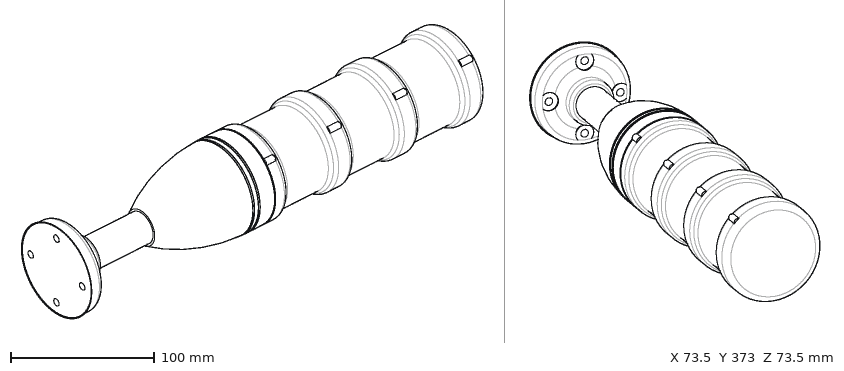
import cadquery as cq
import math

total_length = 373.0

lip_radius = 36.5
lip_thickness = 0.5
flange_radius = 36.0
flange_edge_fillet = 4.0
flange_rim_height = 12.3
flange_root_height = 13.0
hub_radius = 16.8
hub_top = 27.5
hub_edge_fillet = 2.2
hub_root_fillet = 6.5

hole_count = 4
hole_diameter = 5.5
spotface_diameter = 13.5
hole_circle_radius = 27.0

stem_diameter = 25.0
stem_radius = stem_diameter / 2
nose_start = 80.0
nose_start_radius = 14.0
nose_end = 158.2

collar_diameter = 73.5
tube_diameter = 66.0
collar_radius = collar_diameter / 2
tube_radius = tube_diameter / 2
collar_pitch = 62.0
first_tube_start = 188.0
first_tube_end = 226.5
shoulder_length = 6.5
tube_count = 3
collar_flat_length = collar_pitch - (first_tube_end - first_tube_start) - 2 * shoulder_length

cap_edge_fillet = 5.0
cap_dome_height = 1.5

groove_depth = 0.5
collar_joint = 173.0
grooves = [(collar_joint, 0.7), (158.2, 1.5), (153.0, 1.5)]

rib_radius = 3.0
rib_axis_distance = 35.0
rib_angle = 45.0

DIAGONAL = math.sqrt(0.5)


def fillet_middle(center_x, center_y, radius, side_x, side_y):
    """Middle point of a quarter round, on the given side of its centre."""
    return (center_x + side_x * radius * DIAGONAL, center_y + side_y * radius * DIAGONAL)


def add_shoulder(outline, start, start_radius, end_radius):
    """S-shaped step of two equal tangent arcs between two radii, going along +Y."""
    half_length = shoulder_length / 2
    half_step = (end_radius - start_radius) / 2
    arc_radius = (half_length**2 + half_step**2) / (2 * abs(half_step))
    half_angle = math.asin(half_length / arc_radius) / 2
    bulge = math.copysign(arc_radius * (1 - math.cos(half_angle)), half_step)
    reach = arc_radius * math.sin(half_angle)
    end = start + shoulder_length
    outline = outline.threePointArc(
        (start_radius + bulge, start + reach),
        (start_radius + half_step, start + half_length),
    )
    return outline.threePointArc((end_radius - bulge, end - reach), (end_radius, end))


def make_body():
    """Turned body: half outline in the XY plane, revolved about Y."""
    outline = cq.Workplane("XY").lineTo(lip_radius, 0)

    flange_fillet_x = flange_radius - flange_edge_fillet
    flange_fillet_y = flange_rim_height - flange_edge_fillet
    root_x = hub_radius + hub_root_fillet
    root_y = flange_root_height + hub_root_fillet
    hub_fillet_x = hub_radius - hub_edge_fillet
    hub_fillet_y = hub_top - hub_edge_fillet
    outline = (
        outline.lineTo(lip_radius, lip_thickness)
        .lineTo(flange_radius, lip_thickness)
        .lineTo(flange_radius, flange_fillet_y)
        .threePointArc(
            fillet_middle(flange_fillet_x, flange_fillet_y, flange_edge_fillet, 1, 1),
            (flange_fillet_x, flange_rim_height),
        )
        .lineTo(root_x, flange_root_height)
        .threePointArc(
            fillet_middle(root_x, root_y, hub_root_fillet, -1, -1),
            (hub_radius, root_y),
        )
        .lineTo(hub_radius, hub_fillet_y)
        .threePointArc(
            fillet_middle(hub_fillet_x, hub_fillet_y, hub_edge_fillet, 1, 1),
            (hub_fillet_x, hub_top),
        )
    )

    nose_length = nose_end - nose_start
    nose_rise = collar_radius - nose_start_radius
    nose_arc_radius = (nose_length**2 + nose_rise**2) / (2 * nose_rise)
    nose_half_angle = math.asin(nose_length / nose_arc_radius) / 2
    nose_middle = (
        collar_radius - nose_arc_radius * (1 - math.cos(nose_half_angle)),
        nose_end - nose_arc_radius * math.sin(nose_half_angle),
    )
    outline = (
        outline.lineTo(stem_radius, hub_top)
        .lineTo(stem_radius, nose_start)
        .lineTo(nose_start_radius, nose_start)
        .threePointArc(nose_middle, (collar_radius, nose_end))
    )

    for index in range(tube_count):
        tube_start = first_tube_start + index * collar_pitch
        tube_end = first_tube_end + index * collar_pitch
        outline = outline.lineTo(collar_radius, tube_start - shoulder_length)
        outline = add_shoulder(outline, tube_start - shoulder_length, collar_radius, tube_radius)
        outline = outline.lineTo(tube_radius, tube_end)
        outline = add_shoulder(outline, tube_end, tube_radius, collar_radius)

    cap_rim_radius = collar_radius - cap_edge_fillet
    cap_rim = total_length - cap_dome_height
    cap_fillet_y = cap_rim - cap_edge_fillet
    dome_radius = (cap_rim_radius**2 + cap_dome_height**2) / (2 * cap_dome_height)
    dome_middle_x = cap_rim_radius / 2
    dome_middle_y = total_length - dome_radius + math.sqrt(dome_radius**2 - dome_middle_x**2)
    outline = (
        outline.lineTo(collar_radius, cap_fillet_y)
        .threePointArc(
            fillet_middle(cap_rim_radius, cap_fillet_y, cap_edge_fillet, 1, 1),
            (cap_rim_radius, cap_rim),
        )
        .threePointArc((dome_middle_x, dome_middle_y), (0, total_length))
    )
    return outline.close().revolve(360, (0, 0, 0), (0, 1, 0))


def along_y(start, length):
    """Workplane at Y = start together with the extrusion distance towards +Y."""
    return cq.Workplane("XZ", origin=(0, start, 0)), -length


def cut_grooves(body):
    """Shallow rings cut into the cylinder behind the nose."""
    for middle, width in grooves:
        plane, distance = along_y(middle - width / 2, width)
        outer_radius = collar_radius + groove_depth
        ring = plane.circle(outer_radius).circle(collar_radius - groove_depth).extrude(distance)
        body = body.cut(ring)
    return body


def bolt_circle_cylinders(diameter, start, end):
    """One cylinder at every bolt position, from Y = start to Y = end."""
    plane, distance = along_y(start, end - start)
    positions = plane.polarArray(hole_circle_radius, 0, 360, hole_count)
    return positions.circle(diameter / 2).extrude(distance)


def cut_mounting_holes(body):
    """Through holes around the flange, spot-faced level with its rim on the hub side."""
    holes = bolt_circle_cylinders(hole_diameter, 0, flange_root_height)
    spotfaces = bolt_circle_cylinders(spotface_diameter, flange_rim_height, hub_top)
    return body.cut(holes).cut(spotfaces)


def add_ribs(body):
    """One round rib on the flat of each collar, all in line; the first stops at the collar joint."""
    rib_x = rib_axis_distance * math.cos(math.radians(rib_angle))
    rib_z = rib_axis_distance * math.sin(math.radians(rib_angle))
    for index in range(tube_count + 1):
        rib_end = first_tube_start - shoulder_length + index * collar_pitch
        rib_start = max(rib_end - collar_flat_length, collar_joint)
        plane, distance = along_y(rib_start, rib_end - rib_start)
        body = body.union(plane.center(rib_x, rib_z).circle(rib_radius).extrude(distance))
    return body


result = add_ribs(cut_mounting_holes(cut_grooves(make_body())))